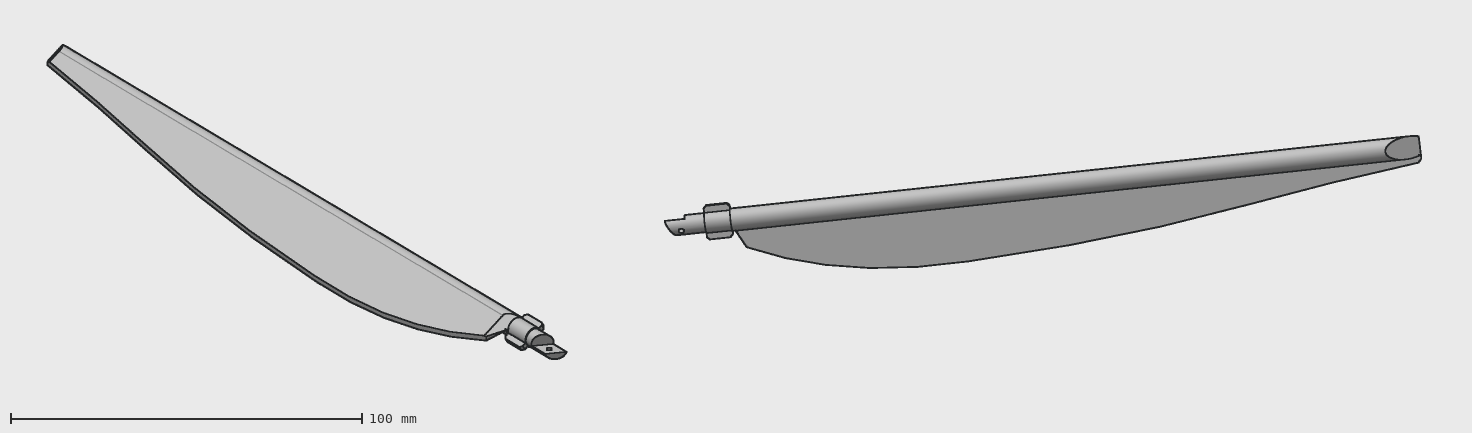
import cadquery as cq
import math

SWEEP_ANGLE = 29.7
PITCH_ANGLE = 29.3

SPAR_RADIUS = 3.3
WEB_THICKNESS = 1.44
WEB_REACH = 26.8
TIP_X = -212.0
COLLAR_START_X = -14.4
SPAR_END_X = COLLAR_START_X
TIP_CORNER = 1.0
TIP_BEVEL = 2.0
TIP_UNDERCUT = 9.5
ROOT_BEVEL = 3.8
ROOT_CORNER = (-17.6, -8.5)
ROOT_EDGE_END = (SPAR_END_X, -2.9)
TRAILING_EDGE = [
    (TIP_X + TIP_CORNER, -5.2), (-183.1, -8.2), (-135.0, -14.4),
    (-87.3, -17.6), (-63.2, -17.8), (-42.3, -15.5), ROOT_CORNER,
]

COLLAR_END_X = -6.9
COLLAR_RADIUS = 3.0
FLANGE_SPAN = 9.8
FLANGE_THICKNESS = 1.7
FLANGE_CORNER = 0.8

PIN_RADIUS = 2.78
TANG_TOP_Z = -0.67
TANG_HALF_LENGTH = 2.9
TANG_END_ANGLE = 2 * SWEEP_ANGLE - 90
HOLE_DIAMETER = 1.5


def rod(start_x, end_x, radius):
    """Round bar lying on the blade axis."""
    return cq.Workplane("YZ", origin=(start_x, 0, 0)).circle(radius).extrude(end_x - start_x)


def pitched(body):
    """Tilt a body so that its trailing side drops."""
    return body.rotate((0, 0, 0), (1, 0, 0), PITCH_ANGLE)


def bevel_end(body, end_x, inset, direction):
    """Slice a blade end obliquely through the web thickness, top edge inset."""
    foot = SPAR_RADIUS - WEB_THICKNESS
    inner_x = end_x - direction * inset
    wedge = (
        cq.Workplane("XZ", origin=(0, 2 * SPAR_RADIUS, 0))
        .polyline([(end_x, foot), (inner_x, SPAR_RADIUS), (end_x, SPAR_RADIUS)])
        .close()
        .extrude(WEB_REACH)
    )
    return body.cut(pitched(wedge))


def undercut_tip(body):
    """Slope the spar's underside up to the underside of the web at the tip."""
    wedge = (
        cq.Workplane("XZ", origin=(0, 2 * SPAR_RADIUS, 0))
        .polyline([
            (TIP_X, SPAR_RADIUS - WEB_THICKNESS),
            (TIP_X + TIP_UNDERCUT, -SPAR_RADIUS),
            (TIP_X, -SPAR_RADIUS),
        ])
        .close()
        .extrude(4 * SPAR_RADIUS)
    )
    return body.cut(pitched(wedge))


def make_blade():
    length = SPAR_END_X - TIP_X
    web = pitched(
        cq.Workplane("XY")
        .box(length, WEB_REACH, WEB_THICKNESS, centered=False)
        .translate((TIP_X, -WEB_REACH, SPAR_RADIUS - WEB_THICKNESS))
    )
    planform = (
        cq.Workplane("XY", origin=(0, 0, -WEB_REACH))
        .moveTo(TIP_X, SPAR_RADIUS)
        .lineTo(TIP_X, TRAILING_EDGE[0][1] + TIP_CORNER)
        .lineTo(*TRAILING_EDGE[0])
        .spline(TRAILING_EDGE[1:], includeCurrent=True)
        .lineTo(*ROOT_EDGE_END)
        .lineTo(SPAR_END_X, SPAR_RADIUS)
        .close()
        .extrude(2 * WEB_REACH)
    )
    spar = rod(TIP_X, SPAR_END_X, SPAR_RADIUS)
    blank = spar.union(web).intersect(planform)
    bevelled = bevel_end(blank, TIP_X, TIP_BEVEL, -1)
    bevelled = bevel_end(bevelled, SPAR_END_X, ROOT_BEVEL, 1)
    return undercut_tip(bevelled)


def make_collar():
    length = COLLAR_END_X - COLLAR_START_X
    flange = pitched(
        cq.Workplane("XY")
        .box(length, FLANGE_SPAN, FLANGE_THICKNESS)
        .edges("|Z")
        .chamfer(FLANGE_CORNER)
        .translate((COLLAR_START_X + length / 2, 0, 0))
    )
    return rod(COLLAR_START_X, COLLAR_END_X, COLLAR_RADIUS).union(flange)


def make_pin():
    slant = PIN_RADIUS * math.tan(math.radians(TANG_END_ANGLE))
    near = -TANG_HALF_LENGTH
    far = TANG_HALF_LENGTH
    beyond = far + 2 * PIN_RADIUS

    def outside_of(end_x, base_z):
        """Everything past an oblique end face, from base_z upwards."""
        return (
            cq.Workplane("XY", origin=(0, 0, base_z))
            .polyline([
                (end_x + slant, -PIN_RADIUS), (beyond, -PIN_RADIUS),
                (beyond, PIN_RADIUS), (end_x - slant, PIN_RADIUS),
            ])
            .close()
            .extrude(3 * PIN_RADIUS)
        )

    pin = rod(SPAR_END_X, far + PIN_RADIUS, PIN_RADIUS)
    pin = pin.cut(outside_of(near, TANG_TOP_Z)).cut(outside_of(far, -PIN_RADIUS))
    hole = cq.Workplane("XY").circle(HOLE_DIAMETER / 2).extrude(PIN_RADIUS, both=True)
    return pin.cut(hole)


blade = make_blade().union(make_pin()).union(make_collar())
result = blade.rotate((0, 0, 0), (0, 0, 1), -SWEEP_ANGLE)